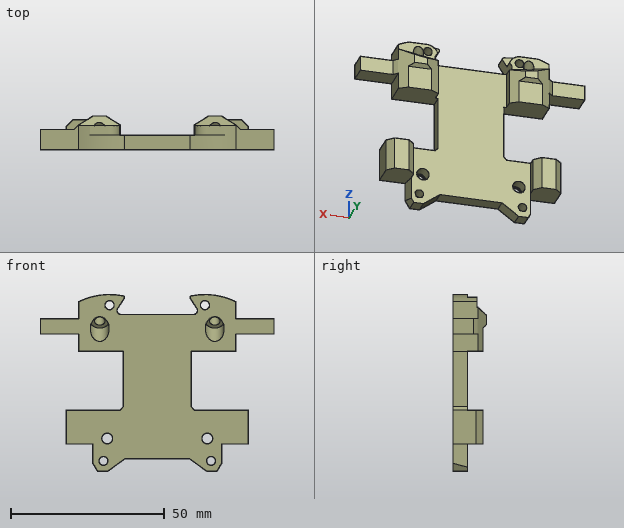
import cadquery as cq
import math

half_length = 38.0
height = 57.5
plate_thickness = 4.8
cut_length = 45.6

waist_half_width = 11.1
waist_corner_width = 1.0
waist_corner_height = 1.15

lower_block_outer = 29.65
lower_block_inner = 20.2
lower_block_bottom = 8.9
lower_block_top = 19.9
block_depth = 9.9
block_chamfer = 2.3
lobe_outer = 21.0
lobe_foot_outer = 19.4
lobe_foot_inner = 16.1
lobe_corner_height = 2.65
lower_edge = 4.1
lower_edge_half = 10.5

head_outer = 25.5
head_bottom = 39.1
horn_peak_x = 15.5
horn_radius = 22.5
horn_tip_x = 10.25
horn_tip_radius = 0.6
notch_floor = 51.1
notch_corner_x = 14.05
notch_radius = 1.2

pad_inner = 12.0
pad_depth = 7.9
pad_top = 56.6
pad_round = 3.9

ridge_center = (head_outer + pad_inner) / 2
ridge_half_width = (head_outer - pad_inner) / 2
ridge_shoulder_depth = 8.1
ridge_depth = 11.0
ridge_crest_half = 2.1
ridge_crest_bottom = 47.8
ridge_top_outer = 53.4
ridge_top_crest = 50.7
ridge_top_inner = 51.15

arm_bottom = 44.6
arm_top = 49.7
arm_depth = 6.7

horn_hole = (15.5, 54.0)
horn_hole_diameter = 2.9
lobe_hole = (17.5, 3.4)
lobe_hole_diameter = 2.8
foot_hole = (16.3, 10.7)
foot_hole_diameter = 3.4
foot_bore_diameter = 4.1
foot_hole_lip = 0.75
slant_hole_x = 18.7
slant_hole_z = 46.3
slant_angle = 41.0
slant_bore_diameter = 6.1
slant_bore_depth = 3.95
slant_hole_diameter = 3.4


def horn_height(x):
    """Height of the horn's top arc at x."""
    drop = horn_radius - math.sqrt(horn_radius**2 - (x - horn_peak_x) ** 2)
    return height - drop


def prism_y(outline, depth):
    """Extrude a closed XZ outline backwards from the front face."""
    return outline.close().extrude(-depth)


def half_plate():
    """Right half of the plate with its rounded horn tip."""
    outline = (
        cq.Workplane("XZ")
        .moveTo(0, lower_edge)
        .lineTo(lower_edge_half, lower_edge)
        .lineTo(lobe_foot_inner, 0)
        .lineTo(lobe_foot_outer, 0)
        .lineTo(lobe_outer, lobe_corner_height)
        .lineTo(lobe_outer, lower_block_bottom)
        .lineTo(lower_block_outer, lower_block_bottom)
        .lineTo(lower_block_outer, lower_block_top)
        .lineTo(waist_half_width + waist_corner_width, lower_block_top)
        .lineTo(waist_half_width, lower_block_top + waist_corner_height)
        .lineTo(waist_half_width, head_bottom)
        .lineTo(head_outer, head_bottom)
        .lineTo(head_outer, horn_height(head_outer))
        .threePointArc((horn_peak_x, height), (horn_tip_x, horn_height(horn_tip_x)))
        .lineTo(0, horn_height(horn_tip_x))
    )
    plate = prism_y(outline, plate_thickness).cut(notch())
    tip = (horn_tip_x, plate_thickness / 2, horn_height(horn_tip_x))
    return plate.edges(cq.selectors.NearestToPointSelector(tip)).fillet(horn_tip_radius)


def lobe_taper():
    """Wedge that narrows the lobe's outer side towards the back."""
    return (
        cq.Workplane("XY")
        .moveTo(lobe_outer, 0)
        .lineTo(lower_block_inner, plate_thickness)
        .lineTo(lobe_outer, plate_thickness)
        .close()
        .extrude(lower_block_bottom)
    )


def lower_block():
    """Raised end of the lower head, chamfered along both back edges."""
    body = prism_y(
        cq.Workplane("XZ")
        .moveTo(lower_block_inner, lower_block_bottom)
        .lineTo(lower_block_outer, lower_block_bottom)
        .lineTo(lower_block_outer, lower_block_top)
        .lineTo(lower_block_inner, lower_block_top),
        block_depth,
    )
    return body.faces(">Y").edges("|Z").chamfer(block_chamfer)


def horn_pad():
    """Raised part behind the horn: it follows the arc, runs flat, then rounds off."""
    flat_start = horn_peak_x + math.sqrt(horn_radius**2 - (horn_radius - height + pad_top) ** 2)
    arc_middle = (flat_start + head_outer) / 2
    outline = (
        cq.Workplane("XZ")
        .moveTo(pad_inner, head_bottom)
        .lineTo(head_outer, head_bottom)
        .lineTo(head_outer, horn_height(head_outer))
        .threePointArc((arc_middle, horn_height(arc_middle)), (flat_start, pad_top))
        .lineTo(pad_inner + pad_round, pad_top)
        .radiusArc((pad_inner, pad_top - pad_round), -pad_round)
    )
    return prism_y(outline, pad_depth)


def ridge_top_cutter():
    """Everything above the ridge's top plane, which falls backwards and inwards."""
    outer_foot = cq.Vector(head_outer, ridge_shoulder_depth, ridge_top_outer)
    outer_crest = cq.Vector(ridge_center + ridge_crest_half, ridge_depth, ridge_top_crest)
    inner_foot = cq.Vector(ridge_center - ridge_half_width, ridge_shoulder_depth, ridge_top_inner)
    inward = inner_foot - outer_foot
    normal = (outer_crest - outer_foot).cross(inward)
    plane = cq.Plane(origin=outer_foot, xDir=inward, normal=normal)
    return cq.Workplane(plane).rect(cut_length, cut_length).extrude(cut_length)


def ridge():
    """Back of the upper block: a roof-shaped section trimmed below its crest and on top."""
    roof = (
        cq.Workplane("XY")
        .workplane(offset=head_bottom)
        .moveTo(ridge_center - ridge_half_width, 0)
        .lineTo(ridge_center + ridge_half_width, 0)
        .lineTo(ridge_center + ridge_half_width, ridge_shoulder_depth)
        .lineTo(ridge_center + ridge_crest_half, ridge_depth)
        .lineTo(ridge_center - ridge_crest_half, ridge_depth)
        .lineTo(ridge_center - ridge_half_width, ridge_shoulder_depth)
        .close()
        .extrude(ridge_top_outer - head_bottom)
    )
    crest_foot = ridge_crest_bottom - (ridge_depth - block_depth)
    below_crest = (
        cq.Workplane("YZ")
        .moveTo(block_depth, head_bottom)
        .lineTo(block_depth, crest_foot)
        .lineTo(ridge_depth, ridge_crest_bottom)
        .lineTo(ridge_depth, head_bottom)
        .close()
        .extrude(half_length)
    )
    return roof.cut(below_crest).cut(ridge_top_cutter())


def arm():
    """Side arm with a 45 degree gusset against the upper block."""
    gusset = ridge_shoulder_depth - arm_depth
    return (
        cq.Workplane("XY")
        .workplane(offset=arm_bottom)
        .moveTo(head_outer, 0)
        .lineTo(half_length, 0)
        .lineTo(half_length, arm_depth)
        .lineTo(head_outer + gusset, arm_depth)
        .lineTo(head_outer, ridge_shoulder_depth)
        .close()
        .extrude(arm_top - arm_bottom)
    )


def notch():
    """Undercut gap between the horns, right half, cut through the full depth."""
    tip_height = horn_height(horn_tip_x)
    body = prism_y(
        cq.Workplane("XZ")
        .moveTo(0, notch_floor)
        .lineTo(notch_corner_x, notch_floor)
        .lineTo(horn_tip_x, tip_height)
        .lineTo(horn_tip_x, height)
        .lineTo(0, height),
        ridge_depth,
    )
    return body.edges("|Y").edges(">X").fillet(notch_radius)


def straight_hole(center, diameter):
    """Cutter for a hole along Y."""
    return cq.Workplane("XZ").center(*center).circle(diameter / 2).extrude(-cut_length)


def slanted_hole():
    """Cutter for the stepped hole that rises towards the back."""
    angle = math.radians(slant_angle)
    axis = cq.Vector(0, math.cos(angle), math.sin(angle))
    entry = cq.Vector(slant_hole_x, 0, slant_hole_z)
    lead = slant_bore_diameter
    start = entry - axis * lead
    bore = cq.Solid.makeCylinder(slant_bore_diameter / 2, lead + slant_bore_depth, start, axis)
    hole = cq.Solid.makeCylinder(slant_hole_diameter / 2, cut_length, start, axis)
    return cq.Workplane(bore.fuse(hole))


def foot_bore():
    """Cutter for the wider end of the foot hole, sunk from the plate's back."""
    bore = straight_hole(foot_hole, foot_bore_diameter)
    return bore.translate((0, foot_hole_lip, 0))


half = half_plate().cut(lobe_taper())
for raised in (lower_block(), horn_pad(), ridge(), arm()):
    half = half.union(raised)

cutters = (
    notch(),
    straight_hole(horn_hole, horn_hole_diameter),
    straight_hole(lobe_hole, lobe_hole_diameter),
    straight_hole(foot_hole, foot_hole_diameter),
    foot_bore(),
    slanted_hole(),
)
for cutter in cutters:
    half = half.cut(cutter)

result = half.union(half.mirror("YZ"))